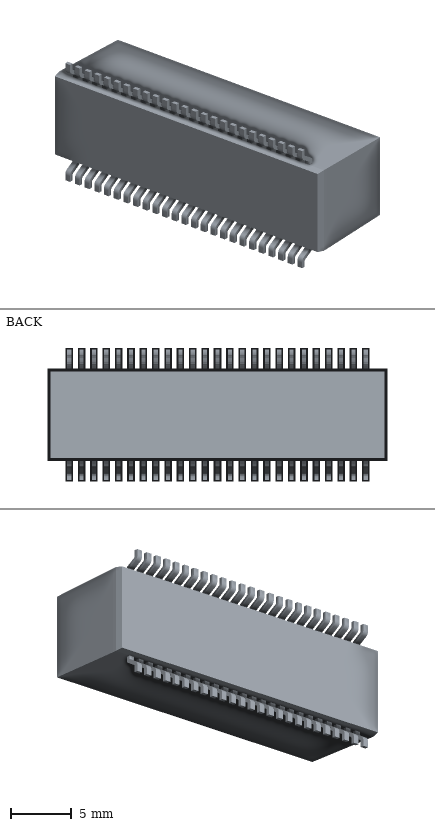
import cadquery as cq
import math

BODY_LENGTH = 27.95
BODY_HEIGHT = 7.52
OVERALL_DEPTH = 8.65
BACK_INSET = 0.15
FRONT_INSET = 0.1

LEAD_COUNT = 25
LEAD_ROW_SPAN = 24.48
LEAD_WIDTH = 0.5
LEAD_THICKNESS = 0.34
LEAD_SPAN = 10.92
FOOT_LENGTH = 0.61
LEAD_SLOPE = 30.0
FOOT_INNER_RADIUS = 0.15
SHOULDER_OUTER_RADIUS = 0.15

FRONT_FACE_Y = LEAD_THICKNESS
BAND_FRONT_Y = 1.0
BAND_BACK_Y = BAND_FRONT_Y + LEAD_THICKNESS
FOOT_OUTER_RADIUS = FOOT_INNER_RADIUS + LEAD_THICKNESS


def tapered_block(band_y, face_y, inset):
    """Block from the full section at band_y to a section inset on all sides at face_y."""
    return (
        cq.Workplane("XZ", origin=(0, band_y, 0))
        .rect(BODY_LENGTH, BODY_HEIGHT)
        .workplane(offset=band_y - face_y)
        .rect(BODY_LENGTH - 2 * inset, BODY_HEIGHT - 2 * inset)
        .loft(ruled=True)
    )


def make_body():
    band = (
        cq.Workplane("XZ", origin=(0, BAND_BACK_Y, 0))
        .rect(BODY_LENGTH, BODY_HEIGHT)
        .extrude(LEAD_THICKNESS)
    )
    back = tapered_block(BAND_BACK_Y, OVERALL_DEPTH, BACK_INSET)
    front = tapered_block(BAND_FRONT_Y, FRONT_FACE_Y, FRONT_INSET)
    return band.union(back).union(front)


def make_upper_lead():
    """One upper lead centred on X = 0, running from mid-height of the body to its tip."""
    slope = math.radians(LEAD_SLOPE)
    tip_z = LEAD_SPAN / 2
    foot_inner_z = tip_z - FOOT_LENGTH
    shoulder_outer_z = foot_inner_z - BAND_FRONT_Y * math.tan(slope)
    bend_shift = LEAD_THICKNESS * math.tan((math.pi / 2 - slope) / 2)
    foot_outer_z = foot_inner_z - bend_shift
    shoulder_inner_z = shoulder_outer_z - bend_shift

    strip = (
        cq.Workplane("YZ", origin=(-LEAD_WIDTH / 2, 0, 0))
        .moveTo(0, tip_z)
        .lineTo(0, foot_outer_z)
        .lineTo(BAND_FRONT_Y, shoulder_inner_z)
        .lineTo(BAND_FRONT_Y, 0)
        .lineTo(BAND_BACK_Y, 0)
        .lineTo(BAND_BACK_Y, shoulder_outer_z)
        .lineTo(LEAD_THICKNESS, foot_inner_z)
        .lineTo(LEAD_THICKNESS, tip_z)
        .close()
        .extrude(LEAD_WIDTH)
    )

    def bend_edge(y, z):
        return cq.selectors.NearestToPointSelector((0, y, z))

    return (
        strip
        .edges(bend_edge(0, foot_outer_z)).fillet(FOOT_OUTER_RADIUS)
        .edges(bend_edge(LEAD_THICKNESS, foot_inner_z)).fillet(FOOT_INNER_RADIUS)
        .edges(bend_edge(BAND_BACK_Y, shoulder_outer_z)).fillet(SHOULDER_OUTER_RADIUS)
    )


def make_lead_pair():
    upper = make_upper_lead()
    return upper.union(upper.mirror("XY"))


result = make_body()
lead_pair = make_lead_pair()
lead_pitch = LEAD_ROW_SPAN / (LEAD_COUNT - 1)
for index in range(LEAD_COUNT):
    lead_x = -LEAD_ROW_SPAN / 2 + index * lead_pitch
    result = result.union(lead_pair.translate((lead_x, 0, 0)))